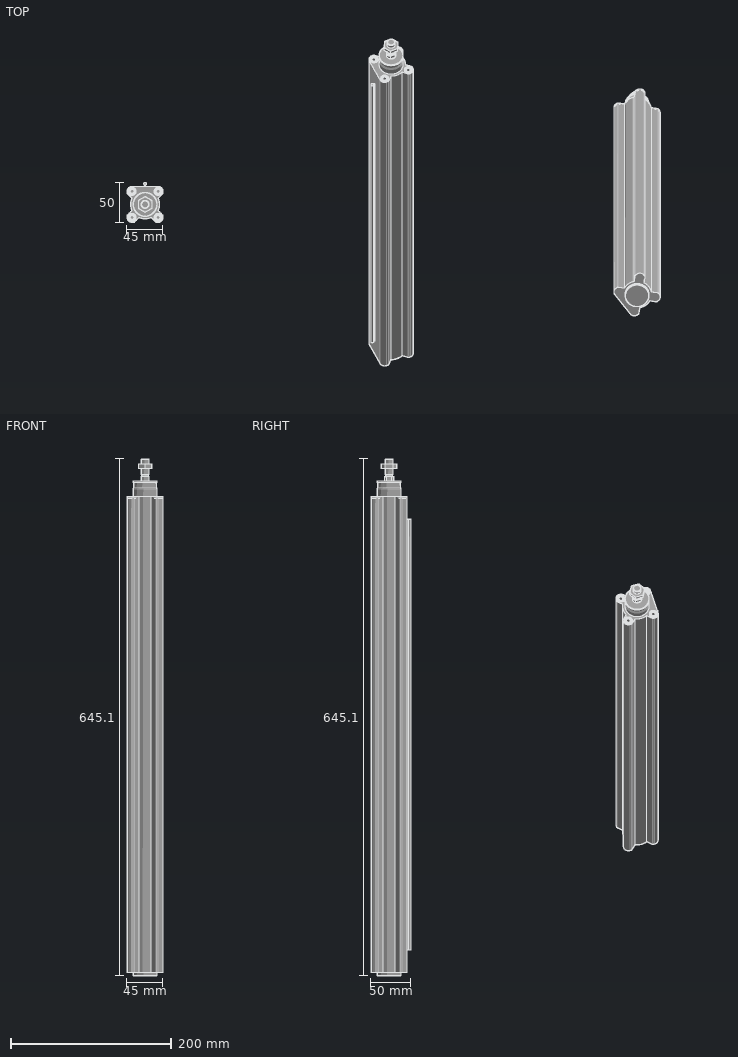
import cadquery as cq
import math


housing_length = 594.0
housing_width = 45.0
half_width = housing_width / 2

tube_radius = 18.15
lobe_radius = 6.25
lobe_center = half_width - lobe_radius
flank_foot = 7.65
flank_fillet = 1.0

screw_groove_diameter = 10.0
screw_head_diameter = 8.2
screw_groove_depth = 2.0
screw_thread_diameter = 4.92
screw_countersink_diameter = 6.0
screw_thread_depth = 16.0

collar_diameter = 30.0
front_collar_height = 19.6
rear_collar_height = 4.0
collar_chamfer = 0.5
collar_lip = 2.0
groove_top_diameter = 28.4
groove_bottom_diameter = 29.0
groove_width = 6.2
groove_bevel_height = 1.6

rail_length = 538.0
rail_top = 27.5
rail_bead_diameter = 3.6
rail_stem_width = 1.0

rod_diameter = 12.0
rod_reach = 47.1
rod_seat_depth = front_collar_height
rod_flat_width = 10.0
thread_diameter = 10.0
thread_length = 22.0
neck_diameter = 8.57
neck_length = 2.0
thread_chamfer = (thread_diameter - neck_diameter) / 2

nut_across_flats = 17.0
nut_height = 6.0
nut_setback = 6.0
nut_chamfer_angle = 15.0

collar_top = housing_length + front_collar_height
rod_tip = housing_length + rod_reach
rod_shoulder = rod_tip - thread_length
rod_bottom = collar_top - rod_seat_depth
rod_flat_length = rod_shoulder - collar_top
nut_bottom = rod_tip - nut_setback - nut_height


def plane_at(z):
    return cq.Workplane("XY").workplane(offset=z)


def disc(diameter, bottom, height):
    return plane_at(bottom).circle(diameter / 2).extrude(height)


def housing_barrel():
    """Extruded round tube with four corner lobes, closed flat across the +Y side."""
    foot_rise = math.sqrt(tube_radius**2 - flank_foot**2)
    flank_top = flank_foot + half_width - foot_rise
    bulge = lobe_center + lobe_radius * math.sqrt(0.5)
    profile = (
        cq.Workplane("XY")
        .moveTo(-lobe_center, half_width)
        .lineTo(lobe_center, half_width)
        .threePointArc((bulge, bulge), (half_width, lobe_center))
        .lineTo(half_width, flank_top)
        .lineTo(foot_rise, flank_foot)
        .threePointArc((tube_radius, 0), (foot_rise, -flank_foot))
        .lineTo(half_width, -flank_top)
        .lineTo(half_width, -lobe_center)
        .threePointArc((bulge, -bulge), (lobe_center, -half_width))
        .lineTo(flank_top, -half_width)
        .lineTo(flank_foot, -foot_rise)
        .threePointArc((0, -tube_radius), (-flank_foot, -foot_rise))
        .lineTo(-flank_top, -half_width)
        .lineTo(-lobe_center, -half_width)
        .threePointArc((-bulge, -bulge), (-half_width, -lobe_center))
        .lineTo(-half_width, -flank_top)
        .lineTo(-foot_rise, -flank_foot)
        .threePointArc((-tube_radius, 0), (-foot_rise, flank_foot))
        .lineTo(-half_width, flank_top)
        .lineTo(-half_width, lobe_center)
        .threePointArc((-bulge, bulge), (-lobe_center, half_width))
        .close()
    )
    body = profile.extrude(housing_length)
    middle = housing_length / 2
    edge_range = 0.1
    for side in (-1, 1):
        corners = [
            (side * half_width, flank_top),
            (side * half_width, -flank_top),
            (side * flank_top, -half_width),
        ]
        for x, y in corners:
            near = (x - edge_range, y - edge_range, middle - edge_range)
            far = (x + edge_range, y + edge_range, middle + edge_range)
            body = body.edges(cq.selectors.BoxSelector(near, far)).fillet(flank_fillet)
    return body


def front_collar():
    """Collar with a shallow groove below its top lip; the groove floor widens downward to a bevel."""
    outer = collar_diameter / 2
    groove_top = collar_top - collar_lip
    groove_bottom = groove_top - groove_width
    return (
        cq.Workplane("XZ")
        .moveTo(0, housing_length)
        .lineTo(outer, housing_length)
        .lineTo(outer, groove_bottom - groove_bevel_height)
        .lineTo(groove_bottom_diameter / 2, groove_bottom)
        .lineTo(groove_top_diameter / 2, groove_top)
        .lineTo(outer, groove_top)
        .lineTo(outer, collar_top)
        .lineTo(0, collar_top)
        .close()
        .revolve(360, (0, 0, 0), (0, 1, 0))
    )


def rear_collar():
    return disc(collar_diameter, -rear_collar_height, rear_collar_height).faces("<Z").chamfer(collar_chamfer)


def rail():
    """Round bead carried by a thin stem along the middle of the +Y face."""
    bead_radius = rail_bead_diameter / 2
    bead_y = rail_top - bead_radius
    stem_height = bead_y - half_width
    plane = plane_at((housing_length - rail_length) / 2)
    bead = plane.center(0, bead_y).circle(bead_radius).extrude(rail_length)
    stem = plane.center(0, half_width + stem_height / 2)
    stem = stem.rect(rail_stem_width, stem_height).extrude(rail_length)
    return bead.union(stem)


def screw_cutters():
    """Ring groove around a screw head, and the countersunk threaded hole in its middle."""
    groove_floor = housing_length - screw_groove_depth
    groove = disc(screw_groove_diameter, groove_floor, screw_groove_depth)
    groove = groove.cut(disc(screw_head_diameter, groove_floor, screw_groove_depth))
    thread = disc(screw_thread_diameter, housing_length - screw_thread_depth, screw_thread_depth)
    sink_depth = (screw_countersink_diameter - screw_thread_diameter) / 2
    sink = cq.Workplane(
        cq.Solid.makeCone(
            screw_thread_diameter / 2,
            screw_countersink_diameter / 2,
            sink_depth,
            cq.Vector(0, 0, housing_length - sink_depth),
        )
    )
    return groove, thread.union(sink)


def make_housing():
    body = housing_barrel().union(front_collar()).union(rear_collar()).union(rail())
    for x in (-lobe_center, lobe_center):
        for y in (-lobe_center, lobe_center):
            for cutter in screw_cutters():
                body = body.cut(cutter.translate((x, y, 0)))
    return body.cut(disc(rod_diameter, rod_bottom, rod_seat_depth))


def make_rod():
    """Shaft with two wrench flats facing X, an undercut neck and a threaded end."""
    shaft = disc(rod_diameter, rod_bottom, collar_top - rod_bottom)
    flats = disc(rod_diameter, collar_top, rod_flat_length)
    flats = flats.intersect(plane_at(collar_top).rect(rod_flat_width, rod_diameter).extrude(rod_flat_length))
    neck = disc(neck_diameter, rod_shoulder, neck_length)
    thread = disc(thread_diameter, rod_shoulder + neck_length, thread_length - neck_length)
    thread = thread.faces("<Z or >Z").chamfer(thread_chamfer)
    return shaft.union(flats).union(neck).union(thread)


def make_nut():
    """Hexagon with corners toward +Y and -Y and conical chamfers at both ends."""
    corner_radius = nut_across_flats / 2 / math.cos(math.pi / 6)
    face_radius = nut_across_flats / 2
    chamfer = (corner_radius - face_radius) * math.tan(math.radians(nut_chamfer_angle))
    hexagon = plane_at(nut_bottom).polygon(6, 2 * corner_radius).extrude(nut_height)
    hexagon = hexagon.rotate((0, 0, 0), (0, 0, 1), 90)
    rounding = disc(2 * corner_radius, nut_bottom, nut_height)
    rounding = rounding.faces("<Z or >Z").chamfer(chamfer, corner_radius - face_radius)
    return hexagon.intersect(rounding).cut(disc(thread_diameter, nut_bottom, nut_height))


housing = make_housing()
rod = make_rod()
nut = make_nut()
result = cq.Compound.makeCompound([housing.val(), rod.val(), nut.val()])